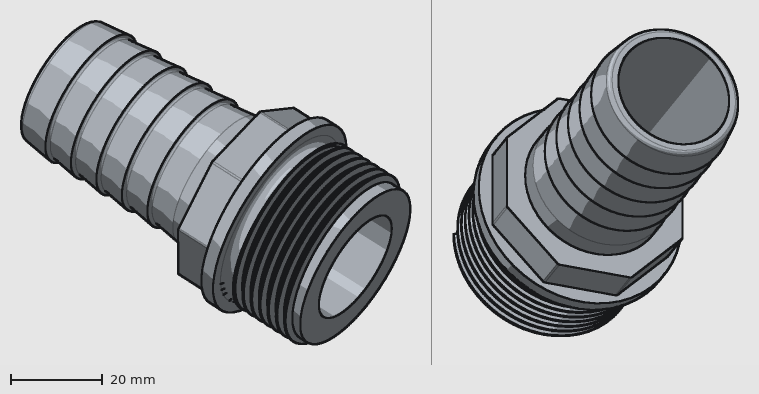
import cadquery as cq
import math


total_length = 80.7
bore_radius = 12.9

barb_count = 6
first_crest_x = 7.9
barb_pitch = 7.0
barb_crest_radius = 16.2
barb_root_radius = 15.3
barb_root_fillet = 0.65
tip_fillet = 1.0

octagon_sides = 8
octagon_start = 47.85
octagon_across_flats = 41.0
octagon_edge_fillet = 0.65

flange_radius = 23.65
flange_start = 56.65
flange_end = 59.9

relief_radius = 1.7
relief_end = flange_end + 2 * relief_radius
lip_width = 0.2

thread_radius = 21.0
thread_root_radius = 19.5
thread_turns = 7
thread_end = 78.8
thread_length = 16.1
thread_pitch = thread_length / thread_turns
thread_crest_width = 0.4
thread_base_width = 1.85
thread_embed = 0.25


def revolve_about_x(profile):
    return profile.close().revolve(360, (0, 0, 0), (1, 0, 0))


def make_tail():
    """Barbed tail: each cone rises to a sharp crest, then drops to a filleted root."""
    profile = (
        cq.Workplane("XY")
        .lineTo(0, barb_root_radius - tip_fillet)
        .radiusArc((tip_fillet, barb_root_radius), tip_fillet)
    )
    for barb in range(barb_count):
        crest_x = first_crest_x + barb * barb_pitch
        profile = profile.lineTo(crest_x, barb_crest_radius)
        if barb < barb_count - 1:
            profile = profile.lineTo(crest_x, barb_root_radius + barb_root_fillet)
            profile = profile.radiusArc(
                (crest_x + barb_root_fillet, barb_root_radius), -barb_root_fillet
            )
    profile = profile.lineTo(octagon_start, barb_crest_radius).lineTo(octagon_start, 0)
    return revolve_about_x(profile)


def make_octagon():
    """Octagon with flats facing Y and Z and lightly rounded edges."""
    half_side_angle = 180 / octagon_sides
    across_corners = octagon_across_flats / math.cos(math.pi / octagon_sides)
    return (
        cq.Workplane("YZ", origin=(octagon_start, 0, 0))
        .transformed(rotate=(0, 0, half_side_angle))
        .polygon(octagon_sides, across_corners)
        .extrude(flange_start - octagon_start)
        .edges("|X")
        .fillet(octagon_edge_fillet)
    )


def make_flange_and_core():
    """Flange, thin lip at the start of the thread, and the plain thread core."""
    lip_end = relief_end + lip_width
    profile = (
        cq.Workplane("XY")
        .moveTo(flange_start, 0)
        .lineTo(flange_start, flange_radius)
        .lineTo(flange_end, flange_radius)
        .lineTo(flange_end, thread_radius)
        .lineTo(lip_end, thread_radius)
        .lineTo(lip_end, thread_root_radius)
        .lineTo(total_length, thread_root_radius)
        .lineTo(total_length, 0)
    )
    return revolve_about_x(profile)


def make_thread():
    """Ridge swept along a helix that starts and ends on the +Y side."""
    base_radius = thread_root_radius - thread_embed
    thread_depth = thread_radius - thread_root_radius
    flank_slope = (thread_base_width - thread_crest_width) / 2 / thread_depth
    half_crest = thread_crest_width / 2
    half_base = thread_base_width / 2 + flank_slope * thread_embed
    helix = cq.Wire.makeHelix(thread_pitch, thread_length, thread_root_radius)
    ridge = (
        cq.Workplane("XZ")
        .moveTo(base_radius, -half_base)
        .lineTo(thread_radius, -half_crest)
        .lineTo(thread_radius, half_crest)
        .lineTo(base_radius, half_base)
        .close()
        .sweep(cq.Workplane(helix), isFrenet=True)
    )
    thread_frame = cq.Plane.named("YZ", origin=(thread_end - thread_length, 0, 0))
    return cq.Workplane(ridge.val().moved(cq.Location(thread_frame)))


def make_relief_cutter():
    """Half-round channel, open outwards, that also trims the start of the thread."""
    profile = (
        cq.Workplane("XY")
        .moveTo(flange_end, flange_radius)
        .lineTo(flange_end, thread_radius)
        .threePointArc(
            (flange_end + relief_radius, thread_radius - relief_radius),
            (relief_end, thread_radius),
        )
        .lineTo(relief_end, flange_radius)
    )
    return revolve_about_x(profile)


bore = cq.Workplane("YZ").circle(bore_radius).extrude(total_length)

result = (
    make_flange_and_core()
    .union(make_thread())
    .cut(make_relief_cutter())
    .union(make_octagon())
    .union(make_tail())
    .cut(bore)
)